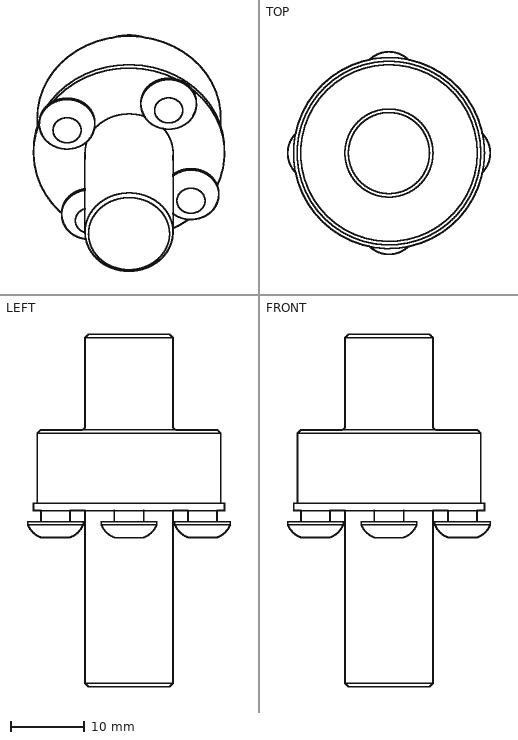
import cadquery as cq
import math

total_length = 48.0
shaft_radius = 6.0
collar_radius = 25.0 / 2
collar_height = 10.0
upper_shaft_length = 13.0
edge_chamfer = 0.5
foot_fillet = 0.5

plate_radius = 13.0
plate_thickness = 1.0

screw_count = 4
screw_circle_radius = 20.0 / 2
shank_radius = 4.0 / 2
shank_length = 8.0
head_radius = 3.8
head_height = 2.2
head_rim_height = 0.45
head_flat_radius = 1.9
dome_bulge = 0.3
head_gap = 1.5

collar_top = total_length - upper_shaft_length
collar_bottom = collar_top - collar_height
plate_bottom = collar_bottom - plate_thickness
head_seat = plate_bottom - head_gap


def at_screw_places(body):
    """Return copies of a body standing on the Z axis, one at each screw place."""
    places = []
    for index in range(screw_count):
        angle = 2 * math.pi * index / screw_count
        x = screw_circle_radius * math.cos(angle)
        y = screw_circle_radius * math.sin(angle)
        places.append(body.translate((x, y, 0)))
    return places


def make_shank():
    """Cylindrical screw shank, from the head seat up into the collar."""
    return cq.Workplane("XY").workplane(offset=head_seat).circle(shank_radius).extrude(shank_length)


def make_screw():
    """Screw with a domed head below the head seat."""
    rim_bottom = head_seat - head_rim_height
    head_bottom = head_seat - head_height
    head = (
        cq.Workplane("XZ")
        .moveTo(0, head_seat)
        .lineTo(head_radius, head_seat)
        .lineTo(head_radius, rim_bottom)
        .sagittaArc((head_flat_radius, head_bottom), dome_bulge)
        .lineTo(0, head_bottom)
        .close()
        .revolve(360, (0, 0, 0), (0, 1, 0))
    )
    return head.union(make_shank())


def make_shaft():
    """Shaft and collar turned in one piece, with blind holes for the screws."""
    shaft = (
        cq.Workplane("XZ")
        .moveTo(0, 0)
        .lineTo(shaft_radius - edge_chamfer, 0)
        .lineTo(shaft_radius, edge_chamfer)
        .lineTo(shaft_radius, collar_bottom)
        .lineTo(collar_radius, collar_bottom)
        .lineTo(collar_radius, collar_top - edge_chamfer)
        .lineTo(collar_radius - edge_chamfer, collar_top)
        .lineTo(shaft_radius + foot_fillet, collar_top)
        .radiusArc((shaft_radius, collar_top + foot_fillet), foot_fillet)
        .lineTo(shaft_radius, total_length - edge_chamfer)
        .lineTo(shaft_radius - edge_chamfer, total_length)
        .lineTo(0, total_length)
        .close()
        .revolve(360, (0, 0, 0), (0, 1, 0))
    )
    for shank in at_screw_places(make_shank()):
        shaft = shaft.cut(shank)
    return shaft


def make_plate():
    """Thin ring around the shaft, with a through hole for each screw."""
    plate = (
        cq.Workplane("XY")
        .workplane(offset=plate_bottom)
        .circle(plate_radius)
        .circle(shaft_radius)
        .extrude(plate_thickness)
    )
    for shank in at_screw_places(make_shank()):
        plate = plate.cut(shank)
    return plate


shaft = make_shaft()
plate = make_plate()
screws = at_screw_places(make_screw())

result = cq.Compound.makeCompound([shaft.val(), plate.val(), *[screw.val() for screw in screws]])